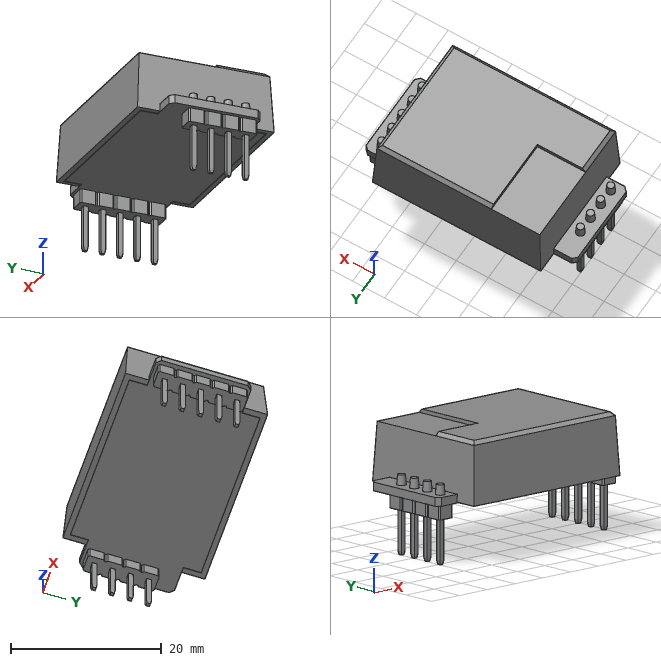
import cadquery as cq
import math

TOTAL_HEIGHT = 17.2
BOARD_BOTTOM = 8.4
CASE_BOTTOM = 8.5

BOARD_LENGTH = 33.15
TAB_WIDTH = 13.3
BOARD_THICKNESS = 1.2
TAB_CHAMFER = 0.6
EDGE_INSET = 0.8

CASE_LENGTH = 26.35
CASE_WIDTH = 19.9
CASE_DRAFT = 3.0
CASE_CHAMFER = 0.53
NOTCH_RIGHT_X = -5.17
NOTCH_FRONT_Y = -2.02

ROW_X = 14.75
RIGHT_ROW_SPAN = 10.15
RIGHT_PIN_COUNT = 5
LEFT_PIN_COUNT = 4
BLOCK_LENGTH = 2.42
BLOCK_WIDTH = 2.35
BLOCK_HEIGHT = 2.0
BLOCK_CHAMFER = 0.2
PIN_SIZE = 0.7
PIN_TIP_SIZE = 0.45
PIN_TIP_HEIGHT = 0.6
SOLDER_BASE_DIAMETER = 1.3
SOLDER_TOP_DIAMETER = 1.05
SOLDER_HEIGHT = 1.4

PITCH = RIGHT_ROW_SPAN / (RIGHT_PIN_COUNT - 1)
FIRST_PIN_Y = -RIGHT_ROW_SPAN / 2
BLOCK_BOTTOM = BOARD_BOTTOM - BLOCK_HEIGHT
BOARD_TOP = BOARD_BOTTOM + BOARD_THICKNESS
SHOULDER_Z = TOTAL_HEIGHT - CASE_CHAMFER


def make_board():
    """Board with chamfered end tabs and a wider middle under the case."""
    tabs = (
        cq.Workplane("XY", origin=(0, 0, BOARD_BOTTOM))
        .rect(BOARD_LENGTH, TAB_WIDTH)
        .extrude(BOARD_THICKNESS)
        .edges("|Z")
        .chamfer(TAB_CHAMFER)
    )
    middle = (
        cq.Workplane("XY", origin=(0, 0, BOARD_BOTTOM))
        .rect(CASE_LENGTH - 2 * EDGE_INSET, CASE_WIDTH - 2 * EDGE_INSET)
        .extrude(BOARD_THICKNESS)
    )
    return tabs.union(middle)


def make_case():
    """Drafted case with a chamfered top and a shallow corner notch."""
    draft_height = SHOULDER_Z - CASE_BOTTOM
    shrink = 2 * draft_height * math.tan(math.radians(CASE_DRAFT))
    shoulder_length = CASE_LENGTH - shrink
    shoulder_width = CASE_WIDTH - shrink
    body = (
        cq.Workplane("XY", origin=(0, 0, CASE_BOTTOM))
        .rect(CASE_LENGTH, CASE_WIDTH)
        .workplane(offset=draft_height)
        .rect(shoulder_length, shoulder_width)
        .loft(ruled=True)
    )
    lid = (
        cq.Workplane("XY", origin=(0, 0, SHOULDER_Z))
        .rect(shoulder_length, shoulder_width)
        .workplane(offset=CASE_CHAMFER)
        .rect(shoulder_length - 2 * CASE_CHAMFER, shoulder_width - 2 * CASE_CHAMFER)
        .loft(ruled=True)
    )
    notch = (
        cq.Workplane("XY", origin=(NOTCH_RIGHT_X - CASE_LENGTH, NOTCH_FRONT_Y, SHOULDER_Z))
        .box(CASE_LENGTH, CASE_WIDTH, CASE_CHAMFER, centered=False)
    )
    return body.union(lid).cut(notch)


def make_terminal():
    """One pin with its insulating block and solder cone, centred on the Z axis."""
    tip = (
        cq.Workplane("XY")
        .rect(PIN_TIP_SIZE, PIN_TIP_SIZE)
        .workplane(offset=PIN_TIP_HEIGHT)
        .rect(PIN_SIZE, PIN_SIZE)
        .loft(ruled=True)
    )
    shank = (
        cq.Workplane("XY", origin=(0, 0, PIN_TIP_HEIGHT))
        .rect(PIN_SIZE, PIN_SIZE)
        .extrude(BOARD_TOP - PIN_TIP_HEIGHT)
    )
    block = (
        cq.Workplane("XY", origin=(0, 0, BLOCK_BOTTOM))
        .rect(BLOCK_LENGTH, BLOCK_WIDTH)
        .extrude(BLOCK_HEIGHT)
        .edges("|Z")
        .chamfer(BLOCK_CHAMFER)
    )
    solder = (
        cq.Workplane("XY", origin=(0, 0, BOARD_TOP))
        .circle(SOLDER_BASE_DIAMETER / 2)
        .workplane(offset=SOLDER_HEIGHT)
        .circle(SOLDER_TOP_DIAMETER / 2)
        .loft()
    )
    return tip.union(shank).union(block).union(solder)


def make_pin_row(row_x, pin_count):
    """Row of terminals running back from the first pin, their blocks joined by a web."""
    row_span = (pin_count - 1) * PITCH
    row = (
        cq.Workplane("XY", origin=(row_x, FIRST_PIN_Y + row_span / 2, BLOCK_BOTTOM))
        .rect(BLOCK_LENGTH - 2 * BLOCK_CHAMFER, row_span)
        .extrude(BLOCK_HEIGHT)
    )
    terminal = make_terminal()
    for index in range(pin_count):
        row = row.union(terminal.translate((row_x, FIRST_PIN_Y + index * PITCH, 0)))
    return row


result = (
    make_board()
    .union(make_case())
    .union(make_pin_row(-ROW_X, LEFT_PIN_COUNT))
    .union(make_pin_row(ROW_X, RIGHT_PIN_COUNT))
)